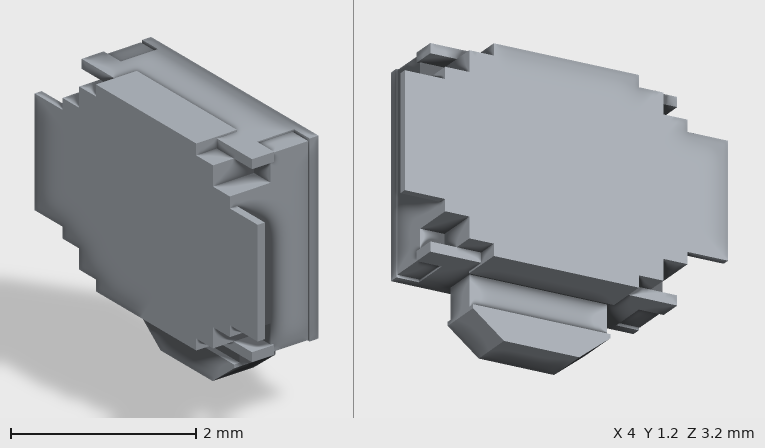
import cadquery as cq

total_length = 4.0
total_depth = 1.2
total_height = 3.2

body_width = 3.0
housing_height = 2.4
tab_height = 1.41
tab_thickness = 0.095
pad_width = 1.795
pad_height = 2.495
pad_depth = 0.55

cover_height = 2.45
cover_thickness = 0.12
ear_width = 3.055
ear_front = 0.28
ear_back = 0.58
window_width = 0.28

pocket_width = 0.3
pocket_floor = 0.85

gap = 0.02

plunger_width = 1.7
tip_width = 0.93
stem_front = 0.625
stem_back = 1.04
head_front = 0.55
head_back = 1.11
head_top = -1.6
taper_top = -1.65
plunger_bottom = pad_height / 2 - total_height

cover_back = total_depth - cover_thickness
cover_inner_height = cover_height - 2 * cover_thickness


def centred_block(width, height, front, back):
    """Block centred on X and Z, spanning front to back in Y."""
    return cq.Workplane("XY").box(width, back - front, height).translate((0, (front + back) / 2, 0))


def corner_blocks(inner_x, outer_x, inner_z, outer_z, front, back):
    """Four blocks mirrored about the X and Z centre planes."""
    width = outer_x - inner_x
    height = outer_z - inner_z
    blocks = cq.Workplane("XY")
    for side_x in (-1, 1):
        for side_z in (-1, 1):
            centre = (
                side_x * (inner_x + outer_x) / 2,
                (front + back) / 2,
                side_z * (inner_z + outer_z) / 2,
            )
            blocks = blocks.union(cq.Workplane("XY").box(width, back - front, height).translate(centre))
    return blocks


def make_body():
    half_width = body_width / 2
    body = centred_block(body_width, cover_inner_height, 0, total_depth)
    body = body.cut(
        corner_blocks(
            half_width - pocket_width, half_width, pocket_floor, cover_inner_height / 2, 0, pad_depth
        )
    )
    body = body.union(centred_block(body_width, housing_height, ear_back, cover_back))
    body = body.union(centred_block(total_length, tab_height, 0, tab_thickness))
    return body.union(centred_block(pad_width, pad_height, 0, pad_depth))


def make_cover():
    half_width = body_width / 2
    cover = centred_block(body_width, cover_height, cover_back, total_depth)
    walls = centred_block(body_width, cover_height, ear_back, cover_back)
    ears = centred_block(ear_width, cover_height, ear_front, ear_back)
    sheet = walls.union(ears).cut(
        centred_block(ear_width, cover_inner_height, ear_front, cover_back)
    )
    windows = corner_blocks(
        half_width - window_width, half_width,
        cover_inner_height / 2, cover_height / 2,
        ear_back, cover_back,
    )
    return cover.union(sheet.cut(windows))


def make_side_gaps():
    """Slits open at both side faces, as deep as the cover windows."""
    slits = centred_block(body_width, cover_height, cover_back - gap, cover_back)
    return slits.cut(
        centred_block(body_width - 2 * window_width, cover_height, cover_back - gap, cover_back)
    )


def make_plunger():
    stem = (
        cq.Workplane("XY")
        .box(plunger_width, stem_back - stem_front, -head_top)
        .translate((0, (stem_front + stem_back) / 2, head_top / 2))
    )
    head = (
        cq.Workplane("XZ", origin=(0, head_back, 0))
        .polyline([
            (-plunger_width / 2, head_top),
            (plunger_width / 2, head_top),
            (plunger_width / 2, taper_top),
            (tip_width / 2, plunger_bottom),
            (-tip_width / 2, plunger_bottom),
            (-plunger_width / 2, taper_top),
        ])
        .close()
        .extrude(head_back - head_front)
    )
    return stem.union(head)


result = make_body().union(make_cover()).cut(make_side_gaps()).union(make_plunger())